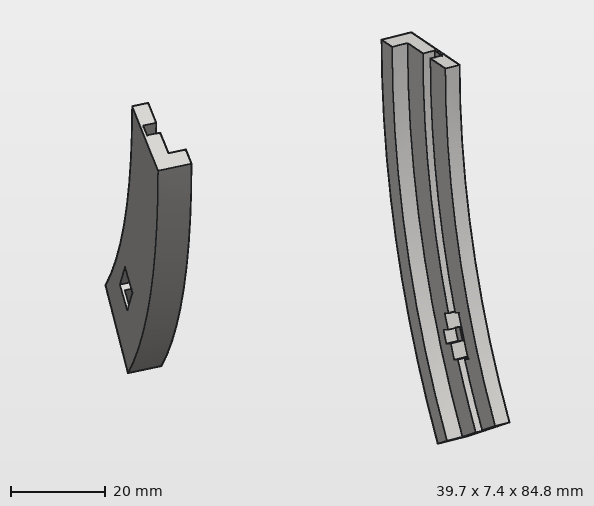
import cadquery as cq
import math

outer_radius = 169.6
inner_radius = 150.0
sweep_angle = 30.0
total_depth = 7.4
plate_thickness = 3.6
lip_width = 4.3

groove_radius = 157.6
groove_width = 3.0
groove_floor = 0.7

window_radius = groove_radius
window_angle = 22.5
window_width = 6.0
window_length = 10.0

side_groove_end_radius = 162.6


def arc_point(radius, angle):
    """Point on the arc, with the angle measured downward from +X."""
    turn = math.radians(angle)
    return radius * math.cos(turn), -radius * math.sin(turn)


def sector(inner, outer, front, back):
    """Ring sector between two radii, from y = front to y = back."""
    middle = sweep_angle / 2
    return (
        cq.Workplane("XZ", origin=(0, front, 0))
        .moveTo(*arc_point(inner, 0))
        .lineTo(*arc_point(outer, 0))
        .threePointArc(arc_point(outer, middle), arc_point(outer, sweep_angle))
        .lineTo(*arc_point(inner, sweep_angle))
        .threePointArc(arc_point(inner, middle), arc_point(inner, 0))
        .close()
        .extrude(front - back)
    )


def radial_block(start_radius, end_radius, length, front, back):
    """Box along the radius through the window centre."""
    return (
        cq.Workplane("XY")
        .box(end_radius - start_radius, back - front, length, centered=(False, False, True))
        .translate((start_radius, front, 0))
        .rotate((0, 0, 0), (0, 1, 0), window_angle)
    )


plate = sector(inner_radius, outer_radius, 0, plate_thickness)
lip_radius = outer_radius - lip_width
lip = sector(lip_radius, outer_radius, 0, total_depth)
groove = sector(
    groove_radius - groove_width / 2,
    groove_radius + groove_width / 2,
    groove_floor,
    plate_thickness,
)
window = radial_block(
    window_radius - window_width / 2,
    window_radius + window_width / 2,
    window_length,
    0,
    plate_thickness,
)
side_groove = radial_block(
    window_radius, side_groove_end_radius, groove_width, groove_floor, plate_thickness
)

result = plate.union(lip).cut(groove).cut(window).cut(side_groove)